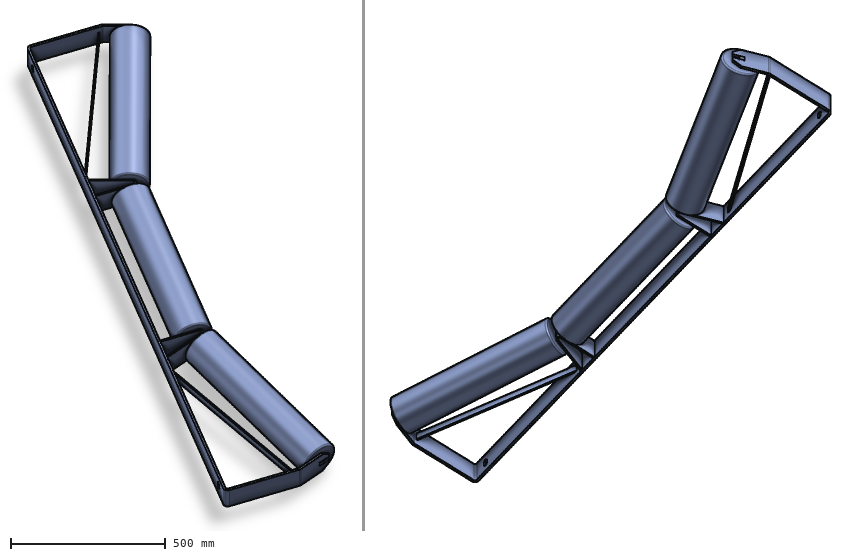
import cadquery as cq
import math

frame_length = 1890.0
strip_width = 89.0
plate = 8.0
tilt = 20.0

roller_diameter = 132.0
roller_length = 600.0
roller_rounding = 5.0
roller_gap = 6.6
middle_axis_y = 125.0
side_axis_x = -620.0
side_axis_y = 238.0
tongue_size = 17.0
tongue_length = 13.0

corner_radius = 15.0
bend_y = 259.0
tab_top_y = 375.0
tab_chamfer_across = 23.0
tab_chamfer_along = 28.0
mount_slot_x = 885.0
mount_slot_width = 15.0
mount_slot_length = 28.0

bracket_plate = 6.0
bracket_bend_radius = 11.0

strut_thickness = 5.0
strut_width = 30.0
strut_foot_x = 400.0
strut_top_y = 250.0

half_length = frame_length / 2
sin_tilt = math.sin(math.radians(tilt))
cos_tilt = math.cos(math.radians(tilt))
tan_tilt = sin_tilt / cos_tilt
support_offset = roller_length / 2 + roller_gap
tab_tip_x = -half_length + (tab_top_y - bend_y) * tan_tilt
cutter_depth = 4 * plate


def strip(points, width=strip_width):
    """Prism of the given width along Z on a closed outline in the XY plane."""
    return cq.Workplane("XY").polyline(points).close().extrude(width / 2, both=True)


def mirrored(body):
    """The same body on the other side of X = 0."""
    return body.mirror("YZ")


def place_side(body):
    """Move a body from the origin to the axis of the left tilted roller."""
    return body.rotate((0, 0, 0), (0, 0, 1), -tilt).translate((side_axis_x, side_axis_y, 0))


def vertical_edge(body, x, y):
    """The edge parallel to Z that passes closest to (x, y)."""
    return body.edges("|Z").edges(cq.selectors.NearestToPointSelector((x, y, 0)))


def make_roller():
    """Drum with rounded rims along X, with a square shaft tongue at each end."""
    drum = (
        cq.Workplane("YZ")
        .workplane(offset=-roller_length / 2)
        .circle(roller_diameter / 2)
        .extrude(roller_length)
        .faces("<X or >X")
        .fillet(roller_rounding)
    )
    shaft = cq.Workplane("XY").box(roller_length + 2 * tongue_length, tongue_size, tongue_size)
    return drum.union(shaft)


def make_tongue_slot(x, rise):
    """Cutter for the slot a tongue drops into: from the tongue's underside up by `rise`."""
    return (
        cq.Workplane("XY")
        .box(cutter_depth, rise, tongue_size, centered=(True, False, True))
        .translate((x, -tongue_size / 2, 0))
    )


def frame_half_outline():
    """Left half of the frame's bent strip, as a closed outline."""
    inner_bend_y = bend_y - plate * math.tan(math.radians(tilt / 2))
    return [
        (0, 0),
        (-half_length, 0),
        (-half_length, bend_y),
        (tab_tip_x, tab_top_y),
        (tab_tip_x + plate * cos_tilt, tab_top_y - plate * sin_tilt),
        (-half_length + plate, inner_bend_y),
        (-half_length + plate, plate),
        (0, plate),
    ]


def make_tab_corner_cutter(side):
    """Triangular cutter for one corner of the tab's tip; `side` is +1 or -1 along Z."""
    edge_z = side * strip_width / 2
    return (
        cq.Workplane("YZ")
        .polyline([
            (0, edge_z),
            (-tab_chamfer_along, edge_z),
            (0, edge_z - side * tab_chamfer_across),
        ])
        .close()
        .extrude(cutter_depth / 2, both=True)
        .rotate((0, 0, 0), (0, 0, 1), -tilt)
        .translate((tab_tip_x, tab_top_y, 0))
    )


def make_frame():
    """U-shaped strip with rounded bends, tilted slotted tabs and mounting slots."""
    half = strip(frame_half_outline())
    inner_radius = corner_radius - plate
    half = vertical_edge(half, -half_length, 0).fillet(corner_radius)
    half = vertical_edge(half, -half_length + plate, plate).fillet(inner_radius)
    half = vertical_edge(half, -half_length, bend_y).fillet(corner_radius)
    half = vertical_edge(half, -half_length + plate, bend_y).fillet(inner_radius)

    for side in (1, -1):
        half = half.cut(make_tab_corner_cutter(side))

    tab_x = -support_offset - plate / 2
    half = half.cut(place_side(make_tongue_slot(tab_x, roller_diameter)))

    mount_slot = (
        cq.Workplane("XZ")
        .center(-mount_slot_x, 0)
        .slot2D(mount_slot_length, mount_slot_width, 90)
        .extrude(cutter_depth / 2, both=True)
    )
    half = half.cut(mount_slot)
    return half.union(mirrored(half)).clean()


def make_bracket():
    """Folded strip: one upright leg for the middle roller, one tilted leg for the side roller."""
    upright_x = -support_offset
    inner_x = upright_x - bracket_plate
    face_x = side_axis_x + support_offset * cos_tilt
    face_y = side_axis_y - support_offset * sin_tilt

    def tilted_x(y, depth):
        """X of the tilted leg at height y, `depth` below the face towards the side roller."""
        return face_x + depth / cos_tilt + (y - face_y) * tan_tilt

    def fold_y(depth):
        """Height where the two legs' surfaces at `depth` would meet in a sharp fold."""
        return face_y + (upright_x - depth - tilted_x(face_y, depth)) / tan_tilt

    body = strip([
        (upright_x, plate),
        (upright_x, fold_y(0)),
        (tilted_x(plate, 0), plate),
        (tilted_x(plate, bracket_plate), plate),
        (inner_x, fold_y(bracket_plate)),
        (inner_x, plate),
    ])
    body = vertical_edge(body, upright_x, fold_y(0)).fillet(bracket_bend_radius)
    inner_radius = bracket_bend_radius - bracket_plate
    body = vertical_edge(body, inner_x, fold_y(bracket_plate)).fillet(inner_radius)

    upright_slot = make_tongue_slot(upright_x - bracket_plate / 2, roller_diameter)
    upright_slot = upright_slot.translate((0, middle_axis_y, 0))
    tilted_slot = place_side(make_tongue_slot(support_offset + bracket_plate / 2, roller_diameter))
    return body.cut(upright_slot).cut(tilted_slot)


def make_strut():
    """Flat brace from the upright of the frame down to its base."""
    top_x = -half_length + plate
    slope = math.atan2(strut_top_y - plate, -strut_foot_x - top_x)
    foot_run = strut_thickness / math.sin(slope)
    top_drop = strut_thickness / math.cos(slope)
    return strip([
        (top_x, strut_top_y),
        (-strut_foot_x, plate),
        (-strut_foot_x - foot_run, plate),
        (top_x, strut_top_y - top_drop),
    ], strut_width)


frame = make_frame()
middle_roller = make_roller().translate((0, middle_axis_y, 0))
side_roller = place_side(make_roller())
rollers = [middle_roller, side_roller, mirrored(side_roller)]
bracket = make_bracket()
brackets = [bracket, mirrored(bracket)]
strut = make_strut()
struts = [strut, mirrored(strut)]

bodies = [frame, *rollers, *brackets, *struts]
result = cq.Compound.makeCompound([body.solids().val() for body in bodies])